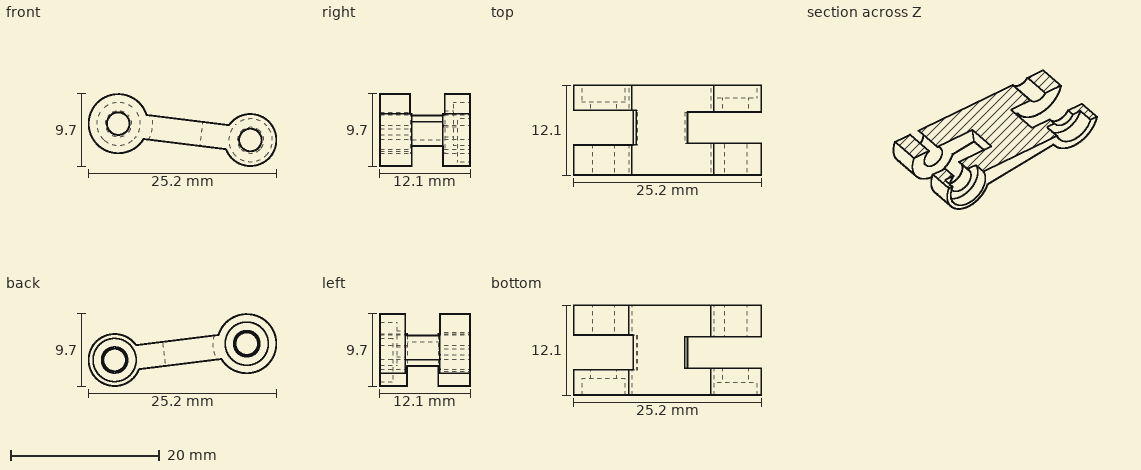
import cadquery as cq
import math

length = 25.25
width = 12.1
height = 9.7
large_radius = 4.0
small_radius = 3.5

hole_diameter = 3.0
bore_diameter = 3.5
recess_diameter = 5.8
large_bore_depth = 1.14
small_bore_depth = 1.95

web_thickness = 3.28
large_slot_width = 4.65
large_slot_offset = 3.4
large_slot_radius = 4.57
small_slot_width = 4.17
small_slot_offset = 3.64
small_slot_start = 11.2

large_x = -length / 2 + large_radius
large_z = height / 2 - large_radius
small_x = length / 2 - small_radius
small_z = -height / 2 + small_radius
pin_distance = math.hypot(small_x - large_x, small_z - large_z)
web_angle = math.degrees(math.atan2(large_z - small_z, small_x - large_x))


def cross_cylinder(x, z, diameter, y_top, depth):
    """Cylinder along Y that runs from y_top toward -Y."""
    return (
        cq.Workplane("XZ", origin=(x, y_top, z))
        .circle(diameter / 2)
        .extrude(depth)
    )


def web_block(start, block_length, thickness, y_top, depth):
    """Block aligned with the web, placed by its distance from the large pin axis."""
    return (
        cq.Workplane("XY")
        .box(block_length, depth, thickness)
        .translate((start + block_length / 2, y_top - depth / 2, 0))
        .rotate((0, 0, 0), (0, 1, 0), web_angle)
        .translate((large_x, 0, large_z))
    )


side_y = width / 2
link = web_block(0, pin_distance, web_thickness, side_y, width)
link = link.union(cross_cylinder(large_x, large_z, 2 * large_radius, side_y, width))
link = link.union(cross_cylinder(small_x, small_z, 2 * small_radius, side_y, width))

link = link.cut(
    cross_cylinder(
        large_x, large_z, 2 * large_slot_radius, side_y - large_slot_offset, large_slot_width
    )
)
link = link.cut(
    web_block(
        small_slot_start, length, length, side_y - small_slot_offset, small_slot_width
    )
)

stepped_pins = (
    (large_x, large_z, large_slot_offset, large_bore_depth),
    (small_x, small_z, small_slot_offset, small_bore_depth),
)
for pin_x, pin_z, lug_width, bore_depth in stepped_pins:
    link = link.cut(cross_cylinder(pin_x, pin_z, hole_diameter, side_y, width))
    link = link.cut(cross_cylinder(pin_x, pin_z, bore_diameter, side_y, lug_width))
    link = link.cut(
        cross_cylinder(pin_x, pin_z, recess_diameter, side_y, lug_width - bore_depth)
    )

result = link